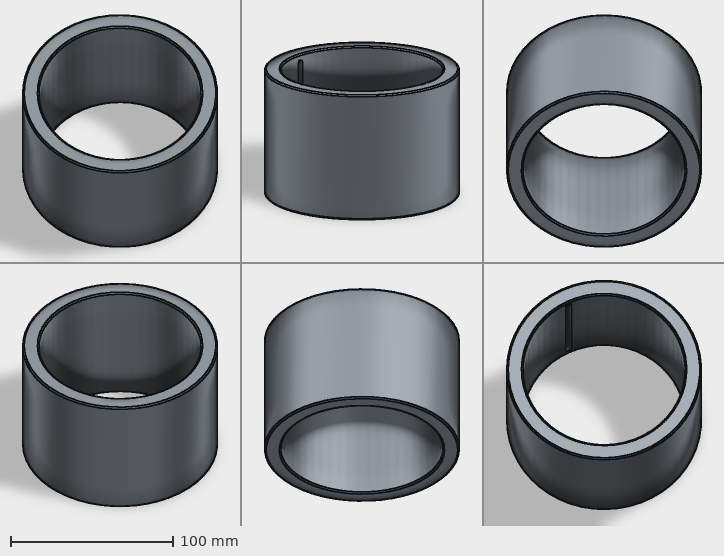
import cadquery as cq

outer_diameter = 120.0
bore_diameter = 100.0
height = 80.0
rim_chamfer = 1.0

groove_radius = 2.0
groove_end_margin = 4.0
lower_ball_z = groove_end_margin + groove_radius
upper_ball_z = height - lower_ball_z

sleeve = (
    cq.Workplane("XY")
    .circle(outer_diameter / 2)
    .circle(bore_diameter / 2)
    .extrude(height)
)

sleeve = sleeve.faces("<Z or >Z").edges().chamfer(rim_chamfer)

groove = (
    cq.Workplane("XY", origin=(bore_diameter / 2, 0, lower_ball_z))
    .circle(groove_radius)
    .extrude(upper_ball_z - lower_ball_z)
)
for ball_z in (lower_ball_z, upper_ball_z):
    ball = cq.Workplane("XY", origin=(bore_diameter / 2, 0, ball_z)).sphere(groove_radius)
    groove = groove.union(ball)

result = sleeve.cut(groove)